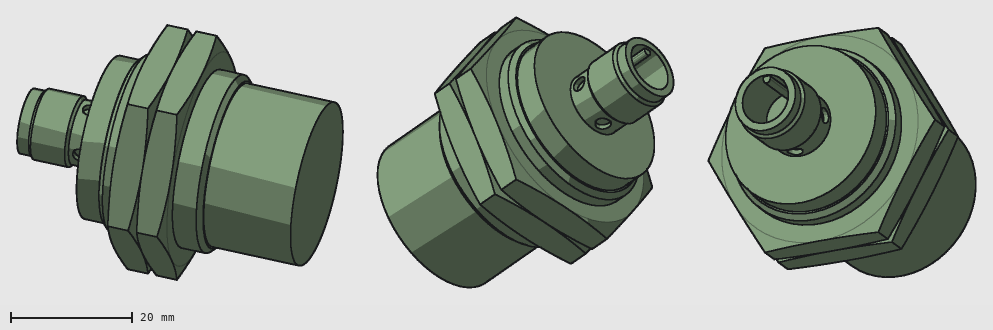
import cadquery as cq
import math

TOTAL_LENGTH = 50.0
BARREL_START = 13.0
BARREL_RADIUS = 13.75
THREAD_START = 17.0
THREAD_END = 35.0
THREAD_RADIUS = 15.0
THREAD_CHAMFER = 0.9

NOSE_RADIUS = 5.5
COLLAR_START = 2.0
COLLAR_END = 8.9
COLLAR_RADIUS = 6.0
COLLAR_CHAMFER = COLLAR_RADIUS - NOSE_RADIUS
SOCKET_RADIUS = 4.2
SOCKET_DEPTH = COLLAR_END
KEY_WIDTH = 1.2
KEY_HEIGHT = 1.2
KEY_RECESS = 0.5

DIMPLE_COUNT = 4
DIMPLE_RADIUS = 1.3
DIMPLE_DEPTH = 0.9
DIMPLE_X = (COLLAR_END + BARREL_START) / 2

NUT_COUNT = 2
NUT_THICKNESS = 5.0
NUT_ACROSS_FLATS = 36.0
NUT_CHAMFER_ANGLE = 15.0
NUTS_START = 20.0


def cylinder(start, end, radius):
    """Solid cylinder on the X axis between two stations."""
    return cq.Workplane("YZ", origin=(start, 0, 0)).circle(radius).extrude(end - start)


def chamfered_cylinder(start, end, radius, chamfer):
    """Cylinder on the X axis with both end edges chamfered."""
    return cylinder(start, end, radius).edges("%CIRCLE").chamfer(chamfer)


def make_key():
    """Round-nosed rib along the top of the socket."""
    half_width = KEY_WIDTH / 2
    tip_z = SOCKET_RADIUS - KEY_HEIGHT
    root_z = (SOCKET_RADIUS + NOSE_RADIUS) / 2
    shoulder_z = tip_z + half_width
    return (
        cq.Workplane("YZ", origin=(KEY_RECESS, 0, 0))
        .moveTo(-half_width, root_z)
        .lineTo(-half_width, shoulder_z)
        .threePointArc((0, tip_z), (half_width, shoulder_z))
        .lineTo(half_width, root_z)
        .close()
        .extrude(SOCKET_DEPTH - KEY_RECESS)
    )


def make_dimples():
    """Cutters whose floors follow a cylinder concentric with the neck."""
    core = cylinder(COLLAR_END, BARREL_START, NOSE_RADIUS - DIMPLE_DEPTH)
    cutter = (
        cq.Workplane("XY", origin=(DIMPLE_X, 0, 0))
        .circle(DIMPLE_RADIUS)
        .extrude(COLLAR_RADIUS)
        .cut(core)
    )
    step = 360 / DIMPLE_COUNT
    return [cutter.rotate((0, 0, 0), (1, 0, 0), i * step) for i in range(DIMPLE_COUNT)]


def make_housing():
    """Barrel, thread and connector nose as one solid."""
    nose = cylinder(0, BARREL_START, NOSE_RADIUS)
    collar = chamfered_cylinder(COLLAR_START, COLLAR_END, COLLAR_RADIUS, COLLAR_CHAMFER)
    barrel = cylinder(BARREL_START, TOTAL_LENGTH, BARREL_RADIUS)
    thread = chamfered_cylinder(THREAD_START, THREAD_END, THREAD_RADIUS, THREAD_CHAMFER)
    socket = cylinder(0, SOCKET_DEPTH, SOCKET_RADIUS)
    housing = barrel.union(thread).union(nose).union(collar)
    housing = housing.cut(socket).union(make_key())
    for dimple in make_dimples():
        housing = housing.cut(dimple)
    return housing


def make_nut(start):
    """Hexagonal nut with corners along Y, coned on both faces and bored to fit the thread."""
    face_radius = NUT_ACROSS_FLATS / 2
    corner_radius = face_radius / math.cos(math.radians(30))
    cone_depth = (corner_radius - face_radius) * math.tan(math.radians(NUT_CHAMFER_ANGLE))
    end = start + NUT_THICKNESS
    hexagon = (
        cq.Workplane("YZ", origin=(start, 0, 0))
        .polygon(6, 2 * corner_radius)
        .extrude(NUT_THICKNESS)
    )
    coned_envelope = (
        cq.Workplane("XY")
        .moveTo(start, 0)
        .lineTo(start, face_radius)
        .lineTo(start + cone_depth, corner_radius)
        .lineTo(end - cone_depth, corner_radius)
        .lineTo(end, face_radius)
        .lineTo(end, 0)
        .close()
        .revolve(360, (0, 0, 0), (1, 0, 0))
    )
    return hexagon.intersect(coned_envelope).cut(cylinder(start, end, THREAD_RADIUS))


housing = make_housing()
nuts = [make_nut(NUTS_START + i * NUT_THICKNESS) for i in range(NUT_COUNT)]

result = cq.Compound.makeCompound([housing.val(), *[nut.val() for nut in nuts]])